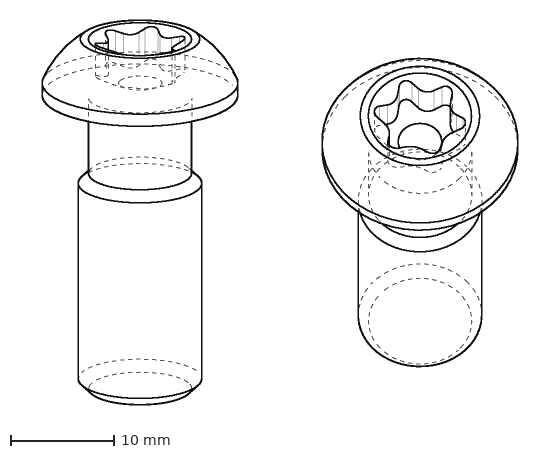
import cadquery as cq
import math

length = 35.7
head_diameter = 19.0
head_top_diameter = 11.55
neck_diameter = 10.0
shank_diameter = 12.0

head_height = 5.7
rim_height = 1.25
neck_length = 8.0
shank_chamfer = (shank_diameter - neck_diameter) / 2
neck_fillet = 0.4
dome_radius = 10.35

lobe_count = 6
flank_distance = 2.6
lobe_tip_radius = 4.45
valley_radius = 3.25
entry_diameter = 10.0
entry_slope = 0.34
floor_diameter = 4.2
floor_slope = 0.43
recess_depth = 4.45

head_bottom = length - head_height
neck_bottom = head_bottom - neck_length


def make_body():
    """Revolve the head, neck and shank about Z."""
    head_radius = head_diameter / 2
    neck_radius = neck_diameter / 2
    shank_radius = shank_diameter / 2
    return (
        cq.Workplane("XZ")
        .lineTo(shank_radius - shank_chamfer, 0)
        .lineTo(shank_radius, shank_chamfer)
        .lineTo(shank_radius, neck_bottom - shank_chamfer)
        .lineTo(neck_radius, neck_bottom)
        .lineTo(neck_radius, head_bottom - neck_fillet)
        .radiusArc((neck_radius + neck_fillet, head_bottom), neck_fillet)
        .lineTo(head_radius, head_bottom)
        .lineTo(head_radius, head_bottom + rim_height)
        .radiusArc((head_top_diameter / 2, length), -dome_radius)
        .lineTo(0, length)
        .close()
        .revolve(360, (0, 0), (0, 1))
    )


def make_entry_cone():
    """Shallow cone sunk into the top of the head."""
    entry_radius = entry_diameter / 2
    return (
        cq.Workplane("XZ", origin=(0, 0, length))
        .lineTo(entry_radius, 0)
        .lineTo(0, -entry_radius * entry_slope)
        .close()
        .revolve(360, (0, 0), (0, 1))
    )


def make_socket():
    """Six-pointed star with rounded tips and valleys, ending on a conical floor with a flat centre."""
    half_pitch = math.pi / lobe_count
    sharp_tip = flank_distance / math.sin(half_pitch)
    sharp_valley = flank_distance / math.cos(half_pitch)
    tip_fillet = (sharp_tip - lobe_tip_radius) / (1 / math.sin(half_pitch) - 1)
    valley_fillet = (valley_radius - sharp_valley) / (1 / math.cos(half_pitch) - 1)

    corners = []
    for index in range(2 * lobe_count):
        angle = math.pi / 2 + index * half_pitch
        radius = sharp_tip if index % 2 == 0 else sharp_valley
        corners.append((radius * math.cos(angle), radius * math.sin(angle)))

    star = (
        cq.Workplane("XY", origin=(0, 0, length - recess_depth))
        .polyline(corners)
        .close()
        .extrude(recess_depth)
    )

    def edges_between(inner, outer):
        """Upright edges of the star whose distance from the axis lies in the range."""
        return [
            edge for edge in star.edges("|Z").vals()
            if inner < math.hypot(edge.Center().x, edge.Center().y) < outer
        ]

    star = star.newObject(edges_between(lobe_tip_radius, 2 * sharp_tip)).fillet(tip_fillet)
    star = star.newObject(edges_between(0, valley_radius)).fillet(valley_fillet)

    floor_radius = floor_diameter / 2
    floor_rise = (sharp_tip - floor_radius) * floor_slope
    bore = (
        cq.Workplane("XZ", origin=(0, 0, length - recess_depth))
        .lineTo(floor_radius, 0)
        .lineTo(sharp_tip, floor_rise)
        .lineTo(sharp_tip, recess_depth)
        .lineTo(0, recess_depth)
        .close()
        .revolve(360, (0, 0), (0, 1))
    )
    return star.intersect(bore)


result = make_body().cut(make_entry_cone()).cut(make_socket())